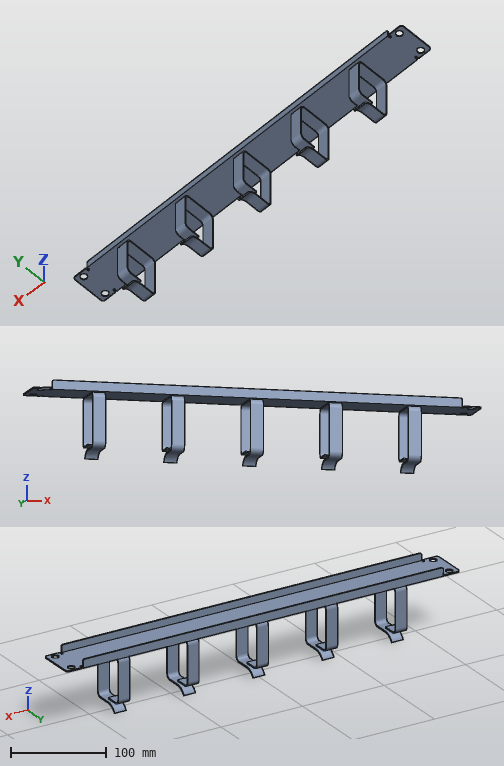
import cadquery as cq
import math

panel_length = 482.6
panel_width = 44.45
overall_height = 76.2
sheet = 1.5
flange_height = 10.0
flange_corner_radius = 2.0

ear_length = 18.5
ear_corner_radius = 3.0
notch_width = 2.0
notch_depth = 4.0
flange_length = panel_length - 2 * (ear_length + notch_width)

hole_diameter = 8.0
hole_spacing_x = 463.5
hole_spacing_y = 31.75

ring_count = 5
ring_pitch = 85.0
ring_strip_width = 14.0
ring_depth = 42.0
ring_bend_radius = 6.0
ring_bottom_drop = 59.0
short_arm_drop = 54.0
short_arm_end_y = 0.5
lip_start_y = 0.5
lip_end_y = 12.5

panel_bottom = overall_height / 2 - flange_height
ring_bottom = panel_bottom - ring_bottom_drop
short_arm_bottom = panel_bottom - short_arm_drop
part_bottom = -overall_height / 2


def make_panel():
    """Flat plate with rounded ears, corner holes and relief notches."""
    plate = (
        cq.Workplane("XY")
        .workplane(offset=panel_bottom)
        .rect(panel_length, panel_width)
        .extrude(sheet)
        .edges("|Z")
        .fillet(ear_corner_radius)
    )
    holes = (
        cq.Workplane("XY")
        .workplane(offset=panel_bottom)
        .rect(hole_spacing_x, hole_spacing_y, forConstruction=True)
        .vertices()
        .circle(hole_diameter / 2)
        .extrude(sheet)
    )
    notches = (
        cq.Workplane("XY")
        .workplane(offset=panel_bottom)
        .rect(flange_length + notch_width, panel_width, forConstruction=True)
        .vertices()
        .rect(notch_width, 2 * notch_depth)
        .extrude(sheet)
    )
    return plate.cut(holes).cut(notches)


def make_flange(side):
    """Upright flange along one long edge; side is -1 or +1 in Y."""
    return (
        cq.Workplane("XY")
        .box(flange_length, sheet, flange_height)
        .edges("|Y and >Z")
        .fillet(flange_corner_radius)
        .translate((0, side * (panel_width - sheet) / 2, panel_bottom + flange_height / 2))
    )


def bend(profile, corner_y, corner_z, radius, start, side_y, side_z):
    """Add a quarter-circle bend to a YZ profile where an upright and a level run meet.

    side_y and side_z (-1 or +1) tell which corner of the ring it is, and start tells
    whether the profile arrives along the upright ("side") or the level run ("level").
    """
    center_y = corner_y - side_y * radius
    center_z = corner_z - side_z * radius
    reach = radius * math.sqrt(0.5)
    middle = (center_y + side_y * reach, center_z + side_z * reach)
    on_side = (corner_y, center_z)
    on_level = (center_y, corner_z)
    if start == "side":
        first, last = on_side, on_level
    else:
        first, last = on_level, on_side
    return profile.lineTo(*first).threePointArc(middle, last)


def make_ring():
    """Bent strip ring, open below, with a drooping lip on its long arm."""
    half_depth = ring_depth / 2
    inner_half = half_depth - sheet
    inner_radius = ring_bend_radius - sheet
    inner_top = panel_bottom - sheet
    lip_run = lip_end_y - lip_start_y
    lip_drop = ring_bottom - part_bottom
    lip_angle = 2 * math.atan2(lip_drop, lip_run)
    inside_radius = lip_run / math.sin(lip_angle)
    outside_radius = inside_radius + sheet

    def lip_point(radius, angle):
        return (
            lip_start_y + radius * math.sin(angle),
            ring_bottom - inside_radius + radius * math.cos(angle),
        )

    profile = cq.Workplane("YZ").moveTo(short_arm_end_y, short_arm_bottom)
    profile = bend(profile, half_depth, short_arm_bottom, ring_bend_radius, "level", 1, -1)
    profile = bend(profile, half_depth, panel_bottom, ring_bend_radius, "side", 1, 1)
    profile = bend(profile, -half_depth, panel_bottom, ring_bend_radius, "level", -1, 1)
    profile = bend(profile, -half_depth, ring_bottom, ring_bend_radius, "side", -1, -1)
    profile = (
        profile.lineTo(lip_start_y, ring_bottom)
        .threePointArc(lip_point(inside_radius, lip_angle / 2), lip_point(inside_radius, lip_angle))
        .lineTo(*lip_point(outside_radius, lip_angle))
        .threePointArc(lip_point(outside_radius, lip_angle / 2), lip_point(outside_radius, 0))
    )
    profile = bend(profile, -inner_half, ring_bottom + sheet, inner_radius, "level", -1, -1)
    profile = bend(profile, -inner_half, inner_top, inner_radius, "side", -1, 1)
    profile = bend(profile, inner_half, inner_top, inner_radius, "level", 1, 1)
    profile = bend(profile, inner_half, short_arm_bottom + sheet, inner_radius, "side", 1, -1)
    profile = profile.lineTo(short_arm_end_y, short_arm_bottom + sheet).close()
    return profile.extrude(ring_strip_width / 2, both=True)


result = make_panel()
for flange_side in (-1, 1):
    result = result.union(make_flange(flange_side))

ring = make_ring()
for index in range(ring_count):
    ring_x = (index - (ring_count - 1) / 2) * ring_pitch
    result = result.union(ring.translate((ring_x, 0, 0)))